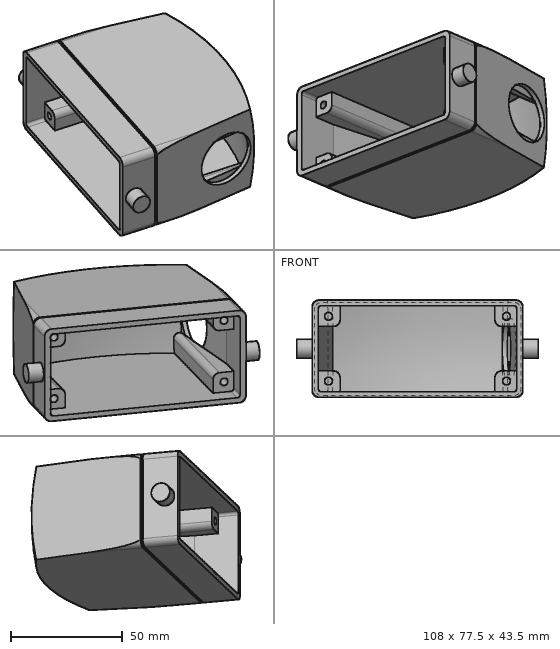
import cadquery as cq

total_length = 108.0
total_depth = 77.5
height = 43.5
housing_length = 94.2

end_wall = 2.8
side_wall = 2.5
roof_wall = 2.5
outer_corner_radius = 3.2
inner_corner_radius = 1.4
cavity_length = housing_length - 2 * end_wall
cavity_height = height - 2 * side_wall

frame_depth = 16.3
groove_width = 1.1
groove_depth = 1.0
hood_start = frame_depth + groove_width

dome_radius = 117.2
roof_half_length = 40.0
roof_corner_depth = 70.5
inner_taper_start = 20.5
taper_slope = (housing_length / 2 - roof_half_length) / (roof_corner_depth - hood_start)

post_start = 9.4
post_inner_x = 34.6
post_inner_z = 9.9
post_corner_radius = 3.0
screw_hole_x = 39.7
screw_hole_z = 14.5
screw_hole_diameter = 3.5
screw_hole_depth = 10.8

entry_diameter = 27.0
entry_center_y = 55.1
entry_cut_length = 4 * end_wall

peg_diameter = 8.6
peg_center_y = 5.8
peg_length = (total_length - housing_length) / 2


def rounded_block(length, block_height, radius, start, end):
    """Block along Y with its four long edges rounded."""
    return (
        cq.Workplane("XZ", origin=(0, start, 0))
        .rect(length, block_height)
        .extrude(start - end)
        .edges("|Y")
        .fillet(radius)
    )


def tapered_envelope(half_length, taper_start, roof_top, radius):
    """Plan outline with straight, then tapering ends, limited by a spherical roof."""
    end_half_length = half_length - taper_slope * (total_depth - taper_start)
    plan = (
        cq.Workplane("XY", origin=(0, 0, -height / 2))
        .moveTo(-half_length, 0)
        .lineTo(half_length, 0)
        .lineTo(half_length, taper_start)
        .lineTo(end_half_length, total_depth)
        .lineTo(-end_half_length, total_depth)
        .lineTo(-half_length, taper_start)
        .close()
        .extrude(height)
    )
    dome = cq.Workplane("XY", origin=(0, roof_top - radius, 0)).sphere(radius)
    return plan.intersect(dome)


def make_cavity():
    block = rounded_block(cavity_length, cavity_height, inner_corner_radius, 0, total_depth)
    envelope = tapered_envelope(
        cavity_length / 2, inner_taper_start, total_depth - roof_wall, dome_radius - roof_wall
    )
    return block.intersect(envelope)


def make_grooved_block():
    """Rim frame and groove floor, up to the start of the hood."""
    frame = rounded_block(housing_length, height, outer_corner_radius, 0, frame_depth)
    groove_floor = rounded_block(
        housing_length - 2 * groove_depth,
        height - 2 * groove_depth,
        outer_corner_radius,
        frame_depth,
        hood_start,
    )
    return frame.union(groove_floor)


def make_hood_block():
    block = rounded_block(housing_length, height, outer_corner_radius, hood_start, total_depth)
    envelope = tapered_envelope(housing_length / 2, hood_start, total_depth, dome_radius)
    return block.intersect(envelope)


def make_cable_entry():
    """Bore perpendicular to the +X tapered wall."""
    wall_x = housing_length / 2 - taper_slope * (entry_center_y - hood_start)
    axis = cq.Vector(1, taper_slope, 0).normalized()
    start = cq.Vector(wall_x, entry_center_y, 0) - axis * (entry_cut_length / 2)
    return cq.Solid.makeCylinder(entry_diameter / 2, entry_cut_length, start, axis)


def make_post(x_side, z_side, cavity):
    """Corner post from its recessed face to the roof, with a blind screw hole."""
    post_width = cavity_length / 2 - post_inner_x
    post_height = cavity_height / 2 - post_inner_z
    center_x = x_side * (post_inner_x + post_width / 2)
    center_z = z_side * (post_inner_z + post_height / 2)
    free_edge = cq.selectors.NearestToPointSelector(
        (x_side * post_inner_x, (post_start + total_depth) / 2, z_side * post_inner_z)
    )
    post = (
        cq.Workplane("XZ", origin=(center_x, post_start, center_z))
        .rect(post_width, post_height)
        .extrude(post_start - total_depth)
        .edges(free_edge)
        .fillet(post_corner_radius)
    )
    screw_hole = (
        cq.Workplane("XZ", origin=(x_side * screw_hole_x, post_start, z_side * screw_hole_z))
        .circle(screw_hole_diameter / 2)
        .extrude(-screw_hole_depth)
    )
    return post.intersect(cavity).cut(screw_hole)


def make_peg(x_side):
    """Round peg standing on the end face of the frame."""
    return (
        cq.Workplane("YZ", origin=(x_side * housing_length / 2, peg_center_y, 0))
        .circle(peg_diameter / 2)
        .extrude(x_side * peg_length)
    )


def make_housing(cavity):
    """Hollow shell with its groove, cable entry and two locking pegs."""
    housing = make_grooved_block().union(make_hood_block()).cut(cavity)
    housing = housing.cut(cq.Workplane(make_cable_entry()))
    for x_side in (-1, 1):
        housing = housing.union(make_peg(x_side))
    return housing


cavity = make_cavity()
housing = make_housing(cavity)
posts = [
    make_post(x_side, z_side, cavity).solids().val()
    for x_side in (-1, 1)
    for z_side in (-1, 1)
]

result = cq.Compound.makeCompound([
    housing.solids().val(),
    *posts,
])